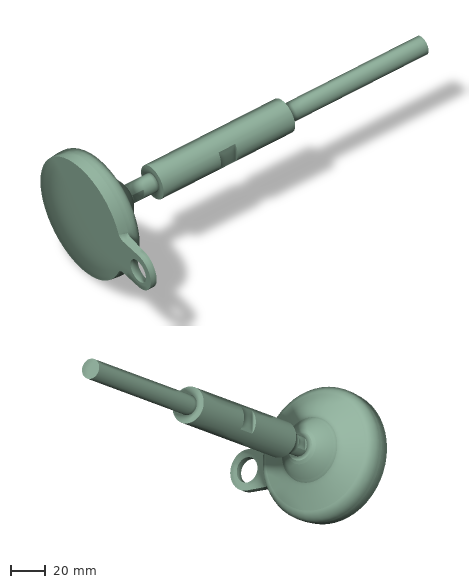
import cadquery as cq
import math

TOTAL_LENGTH = 246.5

FOOT_RADIUS = 80.0 / 2
BASE_RADIUS = 39.5
RIM_BOTTOM = 6.2
RIM_TOP = 9.0
SHOULDER_RADIUS = 34.8
SHOULDER_HEIGHT = 15.8
CONE_TOP_RADIUS = 19.5
CONE_TOP_HEIGHT = 22.0
DOME_RADIUS = 18.0
DOME_HEIGHT = 23.5
DOME_MID_RADIUS = 14.5
DOME_MID_HEIGHT = 27.4
LIP_OUTER_RADIUS = 10.4
LIP_BOTTOM = 30.5
LIP_INNER_RADIUS = 8.5
FOOT_TOP = 31.8

LUG_TIP_X = 67.8
LUG_RADIUS = 12.3
LUG_HOLE_RADIUS = 15.0 / 2
LUG_ROOT_FILLET = 5.0
LUG_TIP_THICKNESS = 4.2
LUG_SLOPE = 3.0
LUG_CENTER_X = LUG_TIP_X - LUG_RADIUS

SPINDLE_RADIUS = 12.0 / 2
NECK_RADIUS = 4.7
NECK_DEPTH = 9.9
SPINDLE_SHOULDER = 32.5
SPINDLE_FLAT_WIDTH = 9.9
SPINDLE_FLAT_START = 33.5
SPINDLE_FLAT_LENGTH = 8.0

SLEEVE_RADIUS = 22.0 / 2
SLEEVE_START = 51.5
SLEEVE_LENGTH = 95.0
SLEEVE_FLAT_WIDTH = 17.0
SLEEVE_FLAT_LENGTH = 12.0


def cylinder(radius, start, length):
    """Cylinder on the Y axis."""
    return cq.Workplane("XZ", origin=(0, start, 0)).circle(radius).extrude(-length)


def cut_spanner_flats(body, body_radius, flat_width, start, length):
    """Mill two parallel flats on the -X and +X sides of a round body."""
    depth = body_radius - flat_width / 2
    for side in (-1, 1):
        cutter = cq.Workplane("XY").box(depth, length, 2 * body_radius).translate(
            (side * (flat_width + depth) / 2, start + length / 2, 0)
        )
        body = body.cut(cutter)
    return body


def make_lug():
    """Lug with a hole, filleted roots and a sloping upper face."""
    fillet_z = LUG_RADIUS + LUG_ROOT_FILLET
    fillet_x = math.sqrt((BASE_RADIUS + LUG_ROOT_FILLET) ** 2 - fillet_z ** 2)
    contact_ratio = BASE_RADIUS / (BASE_RADIUS + LUG_ROOT_FILLET)
    contact_x = fillet_x * contact_ratio
    contact_z = fillet_z * contact_ratio
    contact_angle = math.atan2(-fillet_z, -fillet_x)
    mid_angle = (contact_angle - math.pi / 2) / 2
    mid_x = fillet_x + LUG_ROOT_FILLET * math.cos(mid_angle)
    mid_z = fillet_z + LUG_ROOT_FILLET * math.sin(mid_angle)

    rise = LUG_TIP_X * math.tan(math.radians(LUG_SLOPE))
    outline = (
        cq.Workplane("XZ")
        .moveTo(0, contact_z)
        .lineTo(contact_x, contact_z)
        .threePointArc((mid_x, mid_z), (fillet_x, LUG_RADIUS))
        .lineTo(LUG_CENTER_X, LUG_RADIUS)
        .threePointArc((LUG_TIP_X, 0), (LUG_CENTER_X, -LUG_RADIUS))
        .lineTo(fillet_x, -LUG_RADIUS)
        .threePointArc((mid_x, -mid_z), (contact_x, -contact_z))
        .lineTo(0, -contact_z)
        .close()
        .extrude(-(LUG_TIP_THICKNESS + rise))
    )
    wedge = (
        cq.Workplane("XY")
        .polyline([
            (0, 0),
            (LUG_TIP_X, 0),
            (LUG_TIP_X, LUG_TIP_THICKNESS),
            (0, LUG_TIP_THICKNESS + rise),
        ])
        .close()
        .extrude(FOOT_RADIUS, both=True)
    )
    hole = cylinder(LUG_HOLE_RADIUS, 0, FOOT_TOP).translate((LUG_CENTER_X, 0, 0))
    return outline.intersect(wedge).cut(hole)


def make_foot(spindle):
    dome = (
        cq.Workplane("XY")
        .lineTo(BASE_RADIUS, 0)
        .lineTo(FOOT_RADIUS, RIM_BOTTOM)
        .lineTo(FOOT_RADIUS, RIM_TOP)
        .tangentArcPoint((SHOULDER_RADIUS, SHOULDER_HEIGHT), relative=False)
        .lineTo(CONE_TOP_RADIUS, CONE_TOP_HEIGHT)
        .lineTo(DOME_RADIUS, DOME_HEIGHT)
        .threePointArc((DOME_MID_RADIUS, DOME_MID_HEIGHT), (LIP_OUTER_RADIUS, LIP_BOTTOM))
        .lineTo(LIP_INNER_RADIUS, FOOT_TOP)
        .lineTo(0, FOOT_TOP)
        .close()
        .revolve(360, (0, 0, 0), (0, 1, 0))
    )
    return dome.union(make_lug()).cut(spindle)


def make_spindle():
    neck_bottom = FOOT_TOP - NECK_DEPTH
    spindle = (
        cq.Workplane("XY")
        .polyline([
            (0, neck_bottom),
            (NECK_RADIUS, neck_bottom),
            (NECK_RADIUS, FOOT_TOP),
            (SPINDLE_RADIUS, SPINDLE_SHOULDER),
            (SPINDLE_RADIUS, TOTAL_LENGTH),
            (0, TOTAL_LENGTH),
        ])
        .close()
        .revolve(360, (0, 0, 0), (0, 1, 0))
    )
    return cut_spanner_flats(
        spindle, SPINDLE_RADIUS, SPINDLE_FLAT_WIDTH, SPINDLE_FLAT_START, SPINDLE_FLAT_LENGTH
    )


def make_sleeve():
    sleeve = cylinder(SLEEVE_RADIUS, SLEEVE_START, SLEEVE_LENGTH)
    flat_start = SLEEVE_START + (SLEEVE_LENGTH - SLEEVE_FLAT_LENGTH) / 2
    sleeve = cut_spanner_flats(
        sleeve, SLEEVE_RADIUS, SLEEVE_FLAT_WIDTH, flat_start, SLEEVE_FLAT_LENGTH
    )
    return sleeve.cut(cylinder(SPINDLE_RADIUS, SLEEVE_START, SLEEVE_LENGTH))


spindle = make_spindle()
foot = make_foot(spindle)
sleeve = make_sleeve()

result = cq.Compound.makeCompound([
    *foot.solids().vals(),
    *spindle.solids().vals(),
    *sleeve.solids().vals(),
])